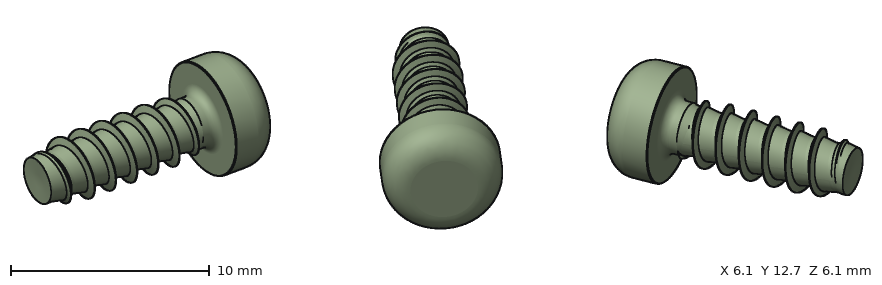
import cadquery as cq
import math

total_length = 12.69
head_diameter = 6.1
head_height = 2.7
dome_radius = 1.35
head_edge_chamfer = 0.05

collar_radius = 1.37
neck_fillet = 0.48
collar_length = 0.86
neck_cone_length = 0.51
neck_end_radius = 1.2

core_radius = 1.22
tip_recess_radius = 1.14
tip_recess_depth = 0.08

thread_start = 0.65
thread_end = 9.65
thread_turns = 7
crest_radius = 1.75
start_height_ratio = 0.35
run_in_turns = 1.2
run_out_turns = 1.2
root_fade_turns = 0.5
samples_per_turn = 24
clearance = 0.63

head_radius = head_diameter / 2
shank_length = total_length - head_height
pitch = (thread_end - thread_start) / thread_turns

first_turn = -1
last_turn = thread_turns + 2

ramp_radius = 1.35
crest_height = crest_radius - ramp_radius
thread_section = [
    (-0.25, core_radius, 0.0),
    (-0.13, 1.28, 0.11),
    (-0.03, ramp_radius, crest_height),
    (0.03, ramp_radius, crest_height),
    (0.15, ramp_radius, 0.0),
    (0.82, core_radius, 0.0),
]


def make_head():
    """Revolve the head and the neck around the Y axis."""
    diagonal = math.sqrt(0.5)
    dome_mid = (
        head_radius - dome_radius * (1 - diagonal),
        head_height - dome_radius * (1 - diagonal),
    )
    neck_mid = (
        collar_radius + neck_fillet * (1 - diagonal),
        -neck_fillet * (1 - diagonal),
    )
    outline = (
        cq.Workplane("XY")
        .moveTo(0, head_height)
        .lineTo(head_radius - dome_radius, head_height)
        .threePointArc(dome_mid, (head_radius, head_height - dome_radius))
        .lineTo(head_radius, head_edge_chamfer)
        .lineTo(head_radius - head_edge_chamfer, 0)
        .lineTo(collar_radius + neck_fillet, 0)
        .threePointArc(neck_mid, (collar_radius, -neck_fillet))
        .lineTo(collar_radius, -collar_length)
        .lineTo(neck_end_radius, -collar_length - neck_cone_length)
        .lineTo(0, -collar_length - neck_cone_length)
        .close()
    )
    return outline.revolve(360, (0, 0, 0), (0, 1, 0))


def height_ratio(turn):
    """Share of the full thread height: it grows at the collar and fades at the tip."""
    run_in = start_height_ratio + (1 - start_height_ratio) * turn / run_in_turns
    run_out = (thread_turns - turn) / run_out_turns
    return max(0.0, min(1.0, run_in, run_out))


def root_ratio(turn):
    """Share of the root slope that remains: it fades to the plain core at the tip."""
    return max(0.0, min(1.0, 0.5 + (thread_turns - turn) / root_fade_turns))


def thread_edge(turn_start, offset, root_radius, height):
    """One-turn helical edge traced by a corner of the thread outline."""
    points = []
    for sample in range(samples_per_turn + 1):
        turn = turn_start + sample / samples_per_turn
        angle = math.pi + 2 * math.pi * turn
        root_rise = (root_radius - core_radius) * root_ratio(turn)
        radius = core_radius + root_rise + height * height_ratio(turn)
        distance = thread_start + pitch * turn + offset
        points.append(cq.Vector(radius * math.cos(angle), -distance, radius * math.sin(angle)))
    return cq.Edge.makeSpline(points)


def make_threaded_shank():
    """Ruled faces between neighbouring helical edges, closed at both ends and trimmed flat."""
    turns = range(first_turn, last_turn)
    edges = [thread_edge(turn, *corner) for turn in turns for corner in thread_section]
    edges.append(thread_edge(last_turn, *thread_section[0]))
    faces = [cq.Face.makeRuledSurface(a, b) for a, b in zip(edges, edges[1:])]

    corners = len(thread_section)
    step_starts = [edge.startPoint() for edge in edges[: corners + 1]]
    step_ends = [edge.endPoint() for edge in edges[-corners - 1 :]]
    for boundary, step in ((edges[0], step_starts), (edges[-1], step_ends)):
        axis_start = cq.Vector(0, step[0].y, 0)
        axis_end = cq.Vector(0, step[-1].y, 0)
        axis = cq.Edge.makeLine(axis_start, axis_end)
        faces.append(cq.Face.makeRuledSurface(boundary, axis))
        outline = cq.Wire.makePolygon([axis_start, *step, axis_end], close=True)
        faces.append(cq.Face.makeFromWires(outline))

    shank = cq.Workplane(cq.Solid.makeSolid(cq.Shell.makeShell(faces)))
    trim = (
        cq.Workplane("XZ", origin=(0, -collar_length, 0))
        .circle(crest_radius + clearance)
        .extrude(shank_length - collar_length)
    )
    return trim.intersect(shank)


def make_tip_recess():
    """Shallow cone sunk into the flat tip."""
    cone = cq.Solid.makeCone(
        tip_recess_radius, 0, tip_recess_depth, cq.Vector(0, -shank_length, 0), cq.Vector(0, 1, 0)
    )
    return cq.Workplane(cone)


result = make_head().union(make_threaded_shank()).cut(make_tip_recess())